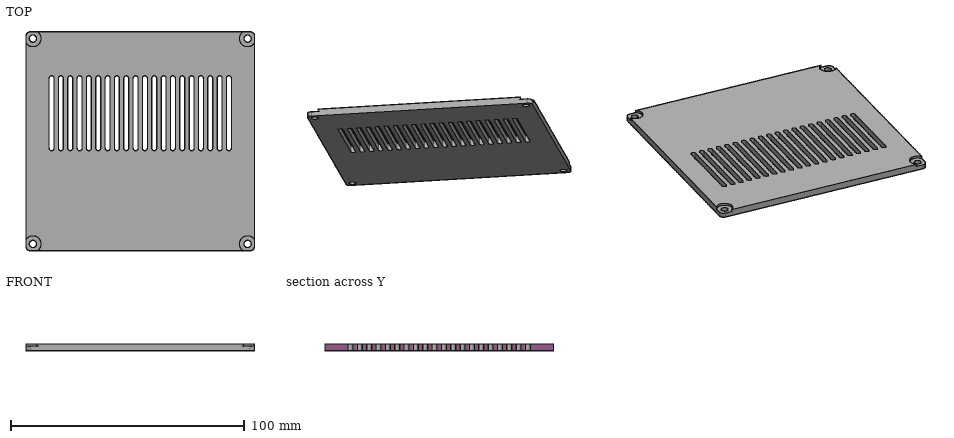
import cadquery as cq

plate_length = 98.0
plate_width = 94.0
plate_thickness = 3.0
corner_radius = 2.0

hole_edge_distance = 3.0
hole_diameter = 3.0
counterbore_diameter = 7.0
counterbore_depth = 1.0

slot_count = 20
slot_pitch = 4.0
slot_width = 2.0
slot_length = 32.0
slot_center_y = 12.0
slot_angle = 90.0


def make_plate():
    """Flat plate with rounded vertical corners."""
    return (
        cq.Workplane("XY")
        .box(plate_length, plate_width, plate_thickness, centered=(True, True, False))
        .edges("|Z")
        .fillet(corner_radius)
    )


def cut_screw_holes(plate):
    """Counterbored through holes whose recesses break out through the plate edges."""
    return (
        plate.faces(">Z")
        .workplane(origin=(0, 0, 0))
        .rect(
            plate_length - 2 * hole_edge_distance,
            plate_width - 2 * hole_edge_distance,
            forConstruction=True,
        )
        .vertices()
        .cboreHole(hole_diameter, counterbore_diameter, counterbore_depth)
    )


def cut_vent_slots(plate):
    """Round-ended through slots, with the row centred on X = 0."""
    return (
        plate.faces(">Z")
        .workplane(origin=(0, slot_center_y, 0))
        .rarray(slot_pitch, slot_length, slot_count, 1)
        .slot2D(slot_length, slot_width, slot_angle)
        .cutThruAll()
    )


result = cut_vent_slots(cut_screw_holes(make_plate()))